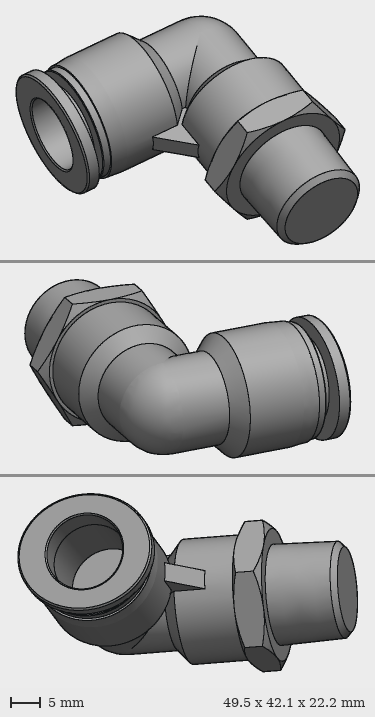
import cadquery as cq
import math


pipe_radius = 16.0 / 2
shoulder_start = 8.5

thread_sleeve_radius = 21.0 / 2
thread_shoulder_end = 10.75
thread_sleeve_end = 20.95

tube_sleeve_radius = 21.2 / 2
tube_sleeve_mouth_radius = 10.35
tube_shoulder_end = 11.1
tube_taper_start = 21.0
tube_sleeve_end = 23.95

socket_radius = 13.0 / 2
socket_floor = tube_shoulder_end
socket_chamfer = 0.25

gusset_thickness = 3.2
gusset_reach = 26.5

ring_radius = 20.0 / 2
ring_end = 25.4
ring_chamfer = 0.15
collar_neck_radius = 14.8 / 2
flange_start = 27.1
flange_end = 29.3
flange_width = 23.0
flange_height = 20.5
flange_chamfer = 0.3

hex_across_flats = 22.23
hex_across_corners = hex_across_flats / math.cos(math.radians(30))
hex_thickness = 5.0
hex_end = thread_sleeve_end + hex_thickness
hex_chamfer_angle = 30.0

fitting_end = 38.0
thread_chamfer = 1.0
thread_root_radius = 8.48
thread_taper = 1 / 32
thread_chamfer_start = fitting_end - thread_chamfer
thread_tip_radius = thread_root_radius - thread_taper * (thread_chamfer_start - hex_end)


def turned_on_x(profile):
    """Revolve a closed profile of (distance along +X, radius) points about the X axis."""
    return cq.Workplane("XY").polyline(profile).close().revolve(360, (0, 0, 0), (1, 0, 0))


def turned_on_minus_y(profile):
    """Revolve a closed profile of (distance along -Y, radius) points about the Y axis."""
    points = [(radius, -distance) for distance, radius in profile]
    return cq.Workplane("XY").polyline(points).close().revolve(360, (0, 0, 0), (0, 1, 0))


def make_mitred_pipe():
    """Two equal pipes joined at the corner, with a ball closing the outside of the bend."""
    thread_pipe = cq.Workplane("YZ").circle(pipe_radius).extrude(shoulder_start)
    tube_pipe = cq.Workplane("XZ").circle(pipe_radius).extrude(shoulder_start)
    return thread_pipe.union(tube_pipe).union(cq.Workplane("XY").sphere(pipe_radius))


def make_gusset():
    """Triangular web filling the inside corner between the two legs."""
    far_reach = gusset_reach - pipe_radius
    return (
        cq.Workplane("XY")
        .polyline([(0, 0), (far_reach, -pipe_radius), (pipe_radius, -far_reach)])
        .close()
        .extrude(gusset_thickness / 2, both=True)
    )


def make_elbow():
    thread_sleeve = turned_on_x([
        (shoulder_start, 0),
        (shoulder_start, pipe_radius),
        (thread_shoulder_end, thread_sleeve_radius),
        (thread_sleeve_end, thread_sleeve_radius),
        (thread_sleeve_end, 0),
    ])
    tube_sleeve = turned_on_minus_y([
        (shoulder_start, 0),
        (shoulder_start, pipe_radius),
        (tube_shoulder_end, tube_sleeve_radius),
        (tube_taper_start, tube_sleeve_radius),
        (tube_sleeve_end, tube_sleeve_mouth_radius),
        (tube_sleeve_end, 0),
    ])
    socket = turned_on_minus_y([
        (socket_floor, 0),
        (socket_floor, socket_radius),
        (tube_sleeve_end, socket_radius),
        (tube_sleeve_end, 0),
    ])
    return make_mitred_pipe().union(make_gusset()).union(thread_sleeve).union(tube_sleeve).cut(socket)


def make_collar():
    """Ring seated on the tube sleeve, a round neck and an oval push flange, bored for the tube."""
    ring_and_neck = turned_on_minus_y([
        (tube_sleeve_end, 0),
        (tube_sleeve_end, ring_radius),
        (ring_end - ring_chamfer, ring_radius),
        (ring_end, ring_radius - ring_chamfer),
        (ring_end, collar_neck_radius),
        (flange_start, collar_neck_radius),
        (flange_start, 0),
    ])
    flange = (
        cq.Workplane("XZ", origin=(0, -flange_start, 0))
        .ellipse(flange_width / 2, flange_height / 2)
        .extrude(flange_end - flange_start)
        .faces("<Y")
        .chamfer(flange_chamfer)
    )
    bore = turned_on_minus_y([
        (tube_sleeve_end, 0),
        (tube_sleeve_end, socket_radius),
        (flange_end - socket_chamfer, socket_radius),
        (flange_end, socket_radius + socket_chamfer),
        (flange_end, 0),
    ])
    return ring_and_neck.union(flange).cut(bore)


def make_thread_stub():
    """Hexagon with both faces chamfered, carrying the tapered thread."""
    face_radius = hex_across_flats / 2
    corner_radius = hex_across_corners / 2
    corner_cut = corner_radius - face_radius
    chamfer_depth = corner_cut * math.tan(math.radians(hex_chamfer_angle))
    hexagon = (
        cq.Workplane("YZ", origin=(thread_sleeve_end, 0, 0))
        .polygon(6, hex_across_corners)
        .extrude(hex_thickness)
    )
    chamfer_envelope = turned_on_x([
        (thread_sleeve_end, 0),
        (thread_sleeve_end, face_radius),
        (thread_sleeve_end + chamfer_depth, corner_radius),
        (hex_end - chamfer_depth, corner_radius),
        (hex_end, face_radius),
        (hex_end, 0),
    ])
    thread = turned_on_x([
        (hex_end, 0),
        (hex_end, thread_root_radius),
        (thread_chamfer_start, thread_tip_radius),
        (fitting_end, thread_tip_radius - thread_chamfer),
        (fitting_end, 0),
    ])
    return hexagon.intersect(chamfer_envelope).union(thread)


elbow = make_elbow()
collar = make_collar()
thread_stub = make_thread_stub()

result = cq.Compound.makeCompound([elbow.val(), collar.val(), thread_stub.val()])